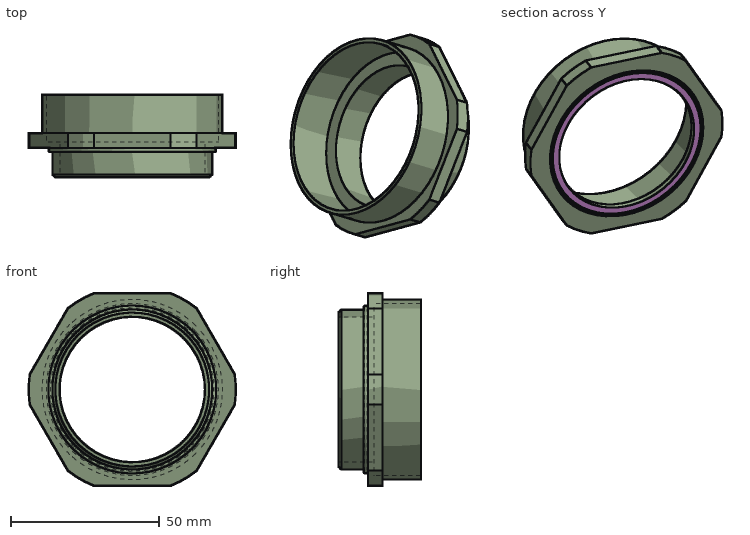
import cadquery as cq
import math

spigot_length = 10.0
hex_thickness = 4.95
barrel_length = 13.0
bore_length = 12.0

hex_across_flats = 65.0
hex_corner_diameter = 69.9
barrel_diameter = 60.8
spigot_diameter = 54.0
bore_diameter = 48.95
socket_diameter = 58.0
spigot_chamfer = 1.05

ring_outer_diameter = 56.65
ring_section_diameter = 1.5


def cylinder(diameter, start_y, length):
    """Solid cylinder along +Y starting at start_y."""
    plane = cq.Workplane("XZ", origin=(0, start_y, 0))
    return plane.circle(diameter / 2).extrude(-length)


def hex_flange():
    """Hexagon with flats at top and bottom and its corners turned round."""
    across_corners = hex_across_flats / math.cos(math.pi / 6)
    hexagon = cq.Workplane("XZ").polygon(6, across_corners).extrude(-hex_thickness)
    return hexagon.intersect(cylinder(hex_corner_diameter, 0, hex_thickness))


def spigot():
    """Front spigot with a chamfered outer end."""
    body = cylinder(spigot_diameter, -spigot_length, spigot_length)
    return body.faces("<Y").chamfer(spigot_chamfer)


def sealing_ring():
    """Round-section ring touching the hexagon and sunk slightly into the spigot."""
    section_radius = ring_section_diameter / 2
    centre_radius = ring_outer_diameter / 2 - section_radius
    section = cq.Workplane("XY").center(centre_radius, -section_radius).circle(section_radius)
    return section.revolve(360, (-centre_radius, 0, 0), (-centre_radius, 1, 0))


barrel = cylinder(barrel_diameter, hex_thickness, barrel_length)
socket_start = bore_length - spigot_length
socket_length = hex_thickness + barrel_length - socket_start
bore = cylinder(bore_diameter, -spigot_length, bore_length)
socket = cylinder(socket_diameter, socket_start, socket_length)

body = hex_flange().union(barrel).union(spigot()).union(sealing_ring())
result = body.cut(bore.union(socket))